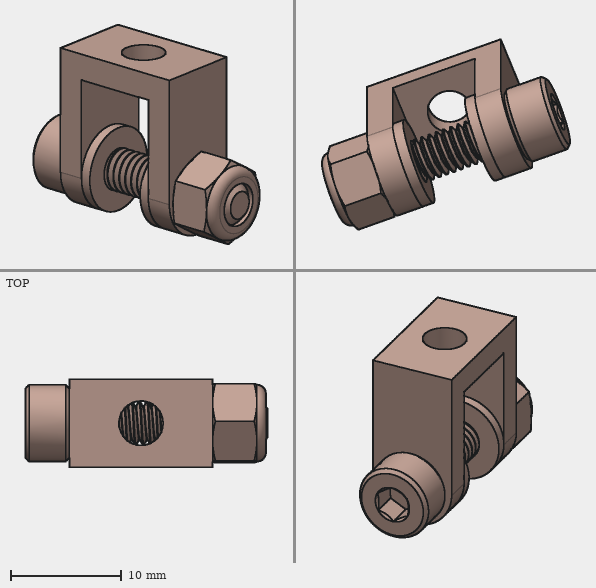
import cadquery as cq
import math


bracket_width = 13.0
bracket_depth = 8.0
bracket_height = 16.02
wall = 2.5
mount_hole_diameter = 4.0

total_length = 22.0
head_length = 4.0
head_diameter = 7.0
head_chamfer = 0.35
shank_diameter = 4.0
tip_chamfer = 0.7
socket_across_flats = 3.0
socket_depth = 2.5
socket_mouth_diameter = 3.48
socket_tilt = 3.0

thread_diameter = 3.98
pitch = 0.7
thread_phase_x = 6.67
thread_turns = 11
ridge_overlap = 0.05

washer_thickness = 1.0

nut_across_flats = 7.0
nut_hex_length = 4.0
nut_corner_chamfer = 0.25
nut_tilt = 2.5
collar_length = 0.84

bracket_x = head_length
nut_x = bracket_x + bracket_width
left_washer_x = bracket_x + wall
right_washer_x = nut_x - wall - washer_thickness
gap_start = left_washer_x + washer_thickness
gap_length = right_washer_x - gap_start

eye_radius = bracket_depth / 2
bracket_top = bracket_height - eye_radius


def cylinder(x, length, diameter):
    """Cylinder on the pin axis that starts at x."""
    return cq.Workplane("YZ", origin=(x, 0, 0)).circle(diameter / 2).extrude(length)


def hexagon(x, length, across_flats, tilt):
    """Hexagonal prism on the pin axis with a corner at the top, tilted towards +Y."""
    corner_diameter = across_flats / math.cos(math.pi / 6)
    return (
        cq.Workplane("YZ", origin=(x, 0, 0))
        .transformed(rotate=(0, 0, 90 - tilt))
        .polygon(6, corner_diameter)
        .extrude(length)
    )


def turned(profile):
    """Solid of revolution about the pin axis from (x, radius) points."""
    return cq.Workplane("XY").polyline(profile).close().revolve(360, (0, 0, 0), (1, 0, 0))


def make_bracket():
    """U-shaped clevis with rounded legs, a pin bore and a mounting hole in its top."""
    side = (
        cq.Workplane("YZ", origin=(bracket_x, 0, 0))
        .moveTo(-eye_radius, bracket_top)
        .lineTo(-eye_radius, 0)
        .threePointArc((0, -eye_radius), (eye_radius, 0))
        .lineTo(eye_radius, bracket_top)
        .close()
        .extrude(bracket_width)
    )
    slot = cq.Workplane("XY").box(
        bracket_width - 2 * wall, bracket_depth, bracket_height - wall, centered=(False, True, False)
    ).translate((left_washer_x, 0, -eye_radius))
    mount_hole = (
        cq.Workplane("XY", origin=(bracket_x + bracket_width / 2, 0, bracket_top - wall))
        .circle(mount_hole_diameter / 2)
        .extrude(wall)
    )
    pin_bore = cylinder(bracket_x, bracket_width, shank_diameter)
    return side.cut(slot).cut(mount_hole).cut(pin_bore)


def make_washer(x):
    """Flat washer between a bracket leg and the gap."""
    disc = cylinder(x, washer_thickness, bracket_depth)
    return disc.cut(cylinder(x, washer_thickness, shank_diameter))


def make_thread():
    """Threaded stretch of the screw in the gap between the washers."""
    depth = 17 / 24 * pitch * math.sqrt(3) / 2
    crest_radius = thread_diameter / 2
    core_radius = crest_radius - depth
    root_radius = core_radius - ridge_overlap
    half_crest = pitch / 16
    half_root = half_crest + (depth + ridge_overlap) * math.tan(math.pi / 6)

    helix = cq.Wire.makeHelix(pitch, pitch * thread_turns, crest_radius)
    ridge = (
        cq.Workplane("XZ")
        .polyline([
            (root_radius, -half_root),
            (crest_radius, -half_crest),
            (crest_radius, half_crest),
            (root_radius, half_root),
        ])
        .close()
        .sweep(cq.Workplane(obj=helix), isFrenet=True)
        .rotate((0, 0, 0), (0, 1, 0), 90)
        .translate((thread_phase_x, 0, 0))
    )
    core = cylinder(gap_start, gap_length, 2 * core_radius)
    gap_limits = cylinder(gap_start, gap_length, head_diameter)
    return core.union(ridge.intersect(gap_limits))


def make_socket():
    """Hexagonal key socket with a 45 degree countersunk mouth."""
    mouth_radius = socket_mouth_diameter / 2
    countersink = turned([(0, 0), (0, mouth_radius), (mouth_radius, 0)])
    return hexagon(0, socket_depth, socket_across_flats, socket_tilt).union(countersink)


def make_screw():
    """Socket head cap screw, plain where the other parts enclose it."""
    head = cylinder(0, head_length, head_diameter).edges().chamfer(head_chamfer)
    left_shank = cylinder(head_length, gap_start - head_length, shank_diameter)
    right_shank = (
        cylinder(right_washer_x, total_length - right_washer_x, shank_diameter)
        .faces(">X")
        .chamfer(tip_chamfer)
    )
    return head.union(left_shank).union(make_thread()).union(right_shank).cut(make_socket())


def make_nut():
    """Hex lock nut with cone-chamfered corners and a rounded collar."""
    face_radius = nut_across_flats / 2
    corner_radius = face_radius / math.cos(math.pi / 6)
    hex_end = nut_x + nut_hex_length
    corner_envelope = turned([
        (nut_x, 0),
        (nut_x, face_radius),
        (nut_x + nut_corner_chamfer, corner_radius),
        (hex_end - nut_corner_chamfer, corner_radius),
        (hex_end, face_radius),
        (hex_end, 0),
    ])
    body = hexagon(nut_x, nut_hex_length, nut_across_flats, nut_tilt).intersect(corner_envelope)
    crown_radius = face_radius - collar_length
    collar_end = hex_end + collar_length
    arc_reach = collar_length * math.sin(math.pi / 4)
    collar = (
        cq.Workplane("XY")
        .moveTo(hex_end, 0)
        .lineTo(hex_end, face_radius)
        .threePointArc((hex_end + arc_reach, crown_radius + arc_reach), (collar_end, crown_radius))
        .lineTo(collar_end, 0)
        .close()
        .revolve(360, (0, 0, 0), (1, 0, 0))
    )
    bore = cylinder(nut_x, nut_hex_length + collar_length, shank_diameter)
    return body.union(collar).cut(bore)


bracket = make_bracket()
screw = make_screw()
nut = make_nut()
washers = [make_washer(x) for x in (left_washer_x, right_washer_x)]

result = cq.Compound.makeCompound([
    bracket.val(),
    screw.val(),
    nut.val(),
    *[washer.val() for washer in washers],
])